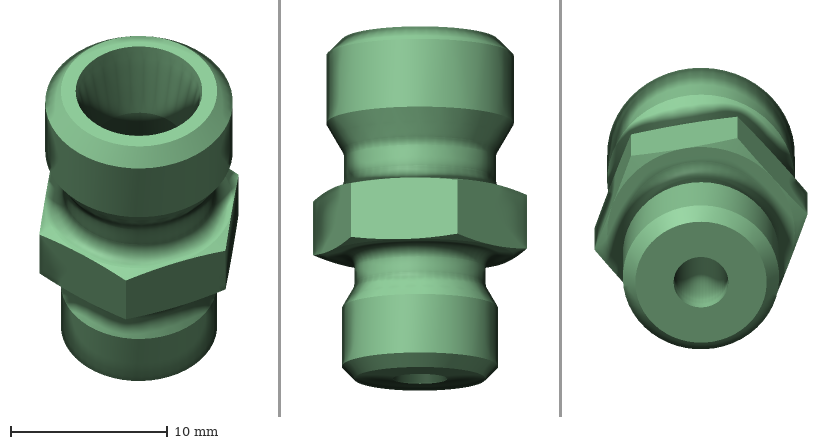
import cadquery as cq
import math

total_height = 22.0
hex_bottom = 8.0
hex_top = 12.0
hex_across_flats = 12.0
hex_sides = 6
hex_half_sector = 180 / hex_sides
hex_across_corners = hex_across_flats / math.cos(math.radians(hex_half_sector))

hex_chamfer_angle = 15.0
hex_chamfer_start_radius = hex_across_flats / 2

upper_radius = 6.0
upper_chamfer = 1.0
upper_thread_bottom = 16.6
upper_neck_radius = 4.85
upper_neck_fillet = 1.0

lower_radius = 5.0
lower_chamfer = 0.8
lower_thread_top = 4.6
lower_neck_radius = 4.2
lower_neck_fillet = 0.8

runout_angle = 30.0

mouth_radius = 4.05
mouth_half_angle = 12.0
socket_radius = 3.0
socket_depth = 7.0
through_radius = 1.75


def threaded_end(radius, chamfer, thread_length, neck_radius, neck_fillet, length):
    """Turned end standing on Z = 0: neck at the bottom, chamfered thread blank on top.

    The neck flares into the hexagon with one fillet and meets the runout cone with another.
    """
    thread_start = length - thread_length
    runout = math.radians(runout_angle)
    cone_start = thread_start - (radius - neck_radius) / math.tan(runout)
    blend = neck_fillet * math.tan(runout / 2)
    arc_center_radius = neck_radius + neck_fillet

    neck_end = cone_start - blend
    blend_end = (neck_radius + blend * math.sin(runout), cone_start + blend * math.cos(runout))
    blend_mid = (
        arc_center_radius - neck_fillet * math.cos(runout / 2),
        neck_end + neck_fillet * math.sin(runout / 2),
    )
    flare_mid = (
        arc_center_radius - neck_fillet * math.sqrt(0.5),
        neck_fillet - neck_fillet * math.sqrt(0.5),
    )
    return (
        cq.Workplane("XZ")
        .moveTo(0, 0)
        .lineTo(arc_center_radius, 0)
        .threePointArc(flare_mid, (neck_radius, neck_fillet))
        .lineTo(neck_radius, neck_end)
        .threePointArc(blend_mid, blend_end)
        .lineTo(radius, thread_start)
        .lineTo(radius, length - chamfer)
        .lineTo(radius - chamfer, length)
        .lineTo(0, length)
        .close()
        .revolve(360, (0, 0), (0, 1))
    )


def hexagon():
    """Hexagon with corners on the Y axis, its corners chamfered at both ends."""
    prism = (
        cq.Workplane("XY", origin=(0, 0, hex_bottom))
        .polygon(hex_sides, hex_across_corners)
        .extrude(hex_top - hex_bottom)
        .rotate((0, 0, 0), (0, 0, 1), hex_half_sector)
    )
    corner_radius = hex_across_corners / 2
    corner_drop = (corner_radius - hex_chamfer_start_radius) * math.tan(math.radians(hex_chamfer_angle))
    envelope = (
        cq.Workplane("XZ")
        .moveTo(0, hex_bottom)
        .lineTo(hex_chamfer_start_radius, hex_bottom)
        .lineTo(corner_radius, hex_bottom + corner_drop)
        .lineTo(corner_radius, hex_top - corner_drop)
        .lineTo(hex_chamfer_start_radius, hex_top)
        .lineTo(0, hex_top)
        .close()
        .revolve(360, (0, 0), (0, 1))
    )
    return prism.intersect(envelope)


def bore():
    """Tapered mouth at the top, straight tube socket, then a hole through to the bottom."""
    mouth_depth = (mouth_radius - socket_radius) / math.tan(math.radians(mouth_half_angle))
    socket_floor = total_height - socket_depth
    return (
        cq.Workplane("XZ")
        .moveTo(0, 0)
        .lineTo(through_radius, 0)
        .lineTo(through_radius, socket_floor)
        .lineTo(socket_radius, socket_floor)
        .lineTo(socket_radius, total_height - mouth_depth)
        .lineTo(mouth_radius, total_height)
        .lineTo(0, total_height)
        .close()
        .revolve(360, (0, 0), (0, 1))
    )


upper_end = threaded_end(
    upper_radius,
    upper_chamfer,
    total_height - upper_thread_bottom,
    upper_neck_radius,
    upper_neck_fillet,
    total_height - hex_top,
).translate((0, 0, hex_top))

lower_end = (
    threaded_end(
        lower_radius,
        lower_chamfer,
        lower_thread_top,
        lower_neck_radius,
        lower_neck_fillet,
        hex_bottom,
    )
    .rotate((0, 0, 0), (1, 0, 0), 180)
    .translate((0, 0, hex_bottom))
)

result = hexagon().union(upper_end).union(lower_end).cut(bore())